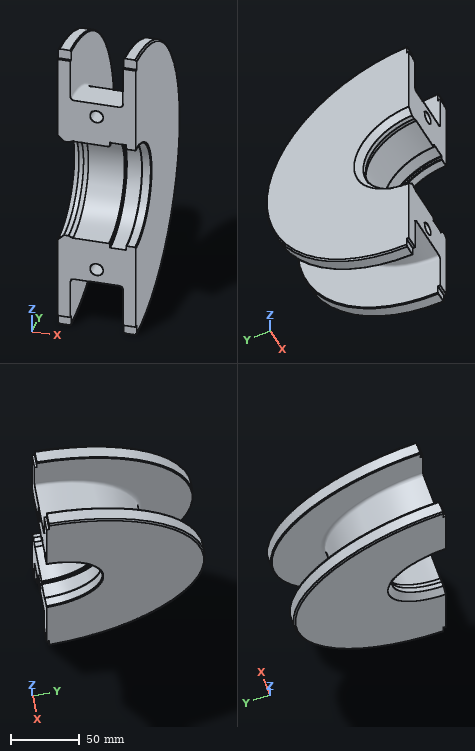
import cadquery as cq


width = 60.0
rim_radius = 118.5
flange_thickness = 10.0
channel_radius = 77.0
channel_fillet = 2.8
rim_outer_chamfer = 1.2
rim_inner_chamfer = 0.7

bore_radius = 41.7
bore_end_chamfer = 0.7
lip_radius = 40.3
lip_start = 5.0
lip_end = 8.5
lip_taper_end = 11.8
entry_radius = lip_radius + lip_start

groove_start = 39.8
groove_end = 52.4
groove_radius = 45.3
groove_chamfer = 0.5

relief_depth = 2.0
relief_radius = 110.5
pin_diameter = 10.0
pin_depth = 2 * pin_diameter
pin_offset = 65.9

left_face = -width / 2
right_face = width / 2


def ring_section():
    """Solid cross-section of the flanged ring, in X and radius."""
    channel_half_width = width / 2 - flange_thickness
    return (
        cq.Workplane("XY")
        .moveTo(left_face, 0)
        .lineTo(left_face, rim_radius - rim_outer_chamfer)
        .lineTo(left_face + rim_outer_chamfer, rim_radius)
        .lineTo(-channel_half_width - rim_inner_chamfer, rim_radius)
        .lineTo(-channel_half_width, rim_radius - rim_inner_chamfer)
        .lineTo(-channel_half_width, channel_radius + channel_fillet)
        .radiusArc((-channel_half_width + channel_fillet, channel_radius), -channel_fillet)
        .lineTo(channel_half_width - channel_fillet, channel_radius)
        .radiusArc((channel_half_width, channel_radius + channel_fillet), -channel_fillet)
        .lineTo(channel_half_width, rim_radius - rim_inner_chamfer)
        .lineTo(channel_half_width + rim_inner_chamfer, rim_radius)
        .lineTo(right_face - rim_outer_chamfer, rim_radius)
        .lineTo(right_face, rim_radius - rim_outer_chamfer)
        .lineTo(right_face, 0)
        .close()
    )


def bore_section():
    """Cross-section of the stepped and grooved bore, in X and radius."""
    return (
        cq.Workplane("XY")
        .moveTo(left_face, 0)
        .lineTo(left_face, entry_radius)
        .lineTo(left_face + lip_start, lip_radius)
        .lineTo(left_face + lip_end, lip_radius)
        .lineTo(left_face + lip_taper_end, bore_radius)
        .lineTo(left_face + groove_start - groove_chamfer, bore_radius)
        .lineTo(left_face + groove_start, bore_radius + groove_chamfer)
        .lineTo(left_face + groove_start, groove_radius - groove_chamfer)
        .lineTo(left_face + groove_start + groove_chamfer, groove_radius)
        .lineTo(left_face + groove_end - groove_chamfer, groove_radius)
        .lineTo(left_face + groove_end, groove_radius - groove_chamfer)
        .lineTo(left_face + groove_end, bore_radius + groove_chamfer)
        .lineTo(left_face + groove_end + groove_chamfer, bore_radius)
        .lineTo(right_face - bore_end_chamfer, bore_radius)
        .lineTo(right_face, bore_radius + bore_end_chamfer)
        .lineTo(right_face, 0)
        .close()
    )


def revolve_about_axis(section):
    """Full revolution of a section about the X axis."""
    return section.revolve(360, (0, 0, 0), (1, 0, 0))


def half_space():
    """Block covering the kept side of the split plane."""
    return cq.Workplane("XY").box(width, rim_radius, 2 * rim_radius).translate((0, rim_radius / 2, 0))


def rim_relief(side):
    """Shallow step in the split face at one end of the rim."""
    height = rim_radius - relief_radius
    centre = (0, relief_depth / 2, side * (relief_radius + height / 2))
    return cq.Workplane("XY").box(width, relief_depth, height).translate(centre)


def pin_hole(side):
    """Blind dowel hole entering the split face in the +Y direction."""
    return (
        cq.Workplane("XZ", origin=(0, 0, side * pin_offset))
        .circle(pin_diameter / 2)
        .extrude(-pin_depth)
    )


result = revolve_about_axis(ring_section()).cut(revolve_about_axis(bore_section()))
result = result.intersect(half_space())
for side in (-1, 1):
    result = result.cut(rim_relief(side)).cut(pin_hole(side))